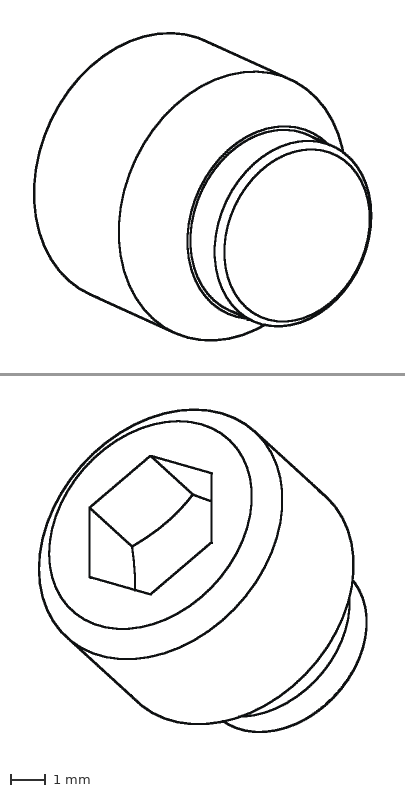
import cadquery as cq
import math

length = 8.0
head_radius = 4.0

face_radius = 3.33
rim_bevel_length = 0.1
rim_radius = 3.5
front_chamfer_end = rim_bevel_length + head_radius - rim_radius

cone_start = 4.8
neck_start_radius = 3.39
neck_start = cone_start + head_radius - neck_start_radius
neck_end = 6.6
neck_end_radius = 2.86
neck_sag = 0.04

tip_radius = 2.76
tip_chamfer = 0.2

hex_across_flats = 4.0
hex_across_corners = hex_across_flats / math.cos(math.radians(30))
socket_depth = 2.5
drill_point_angle = 120.0
drill_radius = hex_across_corners / 2
drill_point_depth = drill_radius / math.tan(math.radians(drill_point_angle / 2))


def make_body():
    """Revolve the stepped outer profile about the X axis."""
    neck_run = neck_end - neck_start
    neck_drop = neck_start_radius - neck_end_radius
    neck_chord = math.hypot(neck_run, neck_drop)
    neck_middle = (
        (neck_start + neck_end) / 2 - neck_sag * neck_drop / neck_chord,
        (neck_start_radius + neck_end_radius) / 2 - neck_sag * neck_run / neck_chord,
    )
    profile = (
        cq.Workplane("XY")
        .lineTo(0, face_radius)
        .lineTo(rim_bevel_length, rim_radius)
        .lineTo(front_chamfer_end, head_radius)
        .lineTo(cone_start, head_radius)
        .lineTo(neck_start, neck_start_radius)
        .threePointArc(neck_middle, (neck_end, neck_end_radius))
        .lineTo(neck_end, tip_radius)
        .lineTo(length - tip_chamfer, tip_radius)
        .lineTo(length, tip_radius - tip_chamfer)
        .lineTo(length, 0)
        .close()
    )
    return profile.revolve(360, (0, 0, 0), (1, 0, 0))


def make_socket():
    """Hexagonal prism, flats facing +Y and -Y, ending in a cone across its corners."""
    prism = (
        cq.Workplane("YZ")
        .transformed(rotate=(0, 0, 90))
        .polygon(6, hex_across_corners)
        .extrude(socket_depth + drill_point_depth)
    )
    drill = (
        cq.Workplane("XY")
        .lineTo(0, drill_radius)
        .lineTo(socket_depth, drill_radius)
        .lineTo(socket_depth + drill_point_depth, 0)
        .close()
        .revolve(360, (0, 0, 0), (1, 0, 0))
    )
    return prism.intersect(drill)


result = make_body().cut(make_socket())